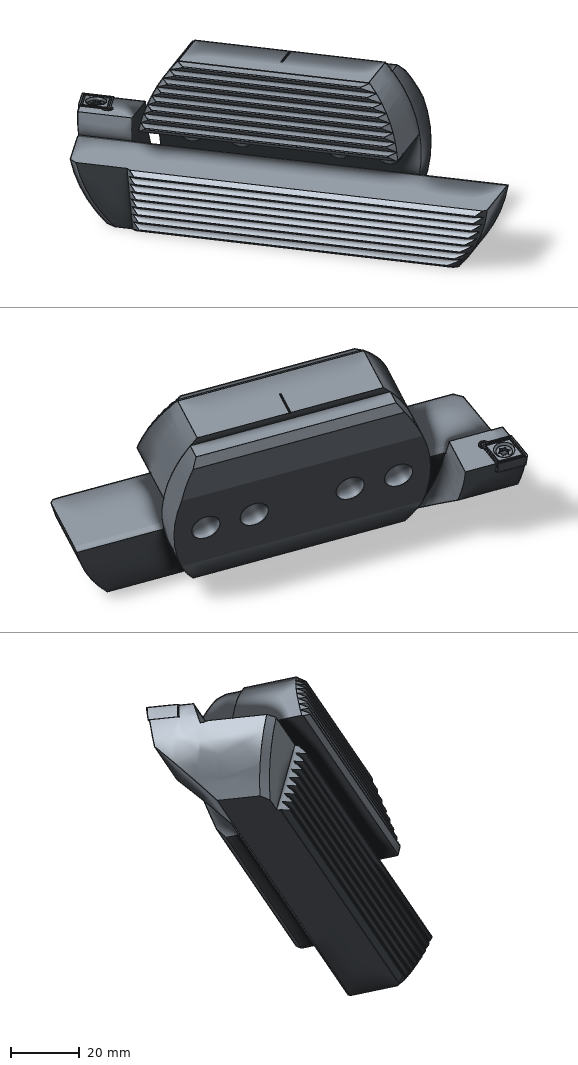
import cadquery as cq
import math


CURVE_RADIUS = 40.0
HEIGHT = 55.0
HALF_HEIGHT = HEIGHT / 2
SLOT_WIDTH = 12.5
SLOT_HALF = SLOT_WIDTH / 2
REACH = 107.7

SLOPE = math.radians(15)
TOOTH_COUNT = 8
TOOTH_DEPTH = 2.0
TOOTH_FLANK = math.radians(30)
TOOTH_SHIFT = 0.3
ROOT_Y = -22.0
GRIP_HEIGHT = HALF_HEIGHT - SLOT_HALF
PITCH = GRIP_HEIGHT / math.cos(SLOPE) / TOOTH_COUNT
TIP_Y = ROOT_Y - TOOTH_DEPTH / math.cos(SLOPE)
GRIP_SETBACK = GRIP_HEIGHT * math.tan(SLOPE)

PLATE_THICKNESS = 9.8
PLATE_HALF_HEIGHT = 25.0
PLATE_TOP_Y = 4.8
PLATE_SHOULDER_Y = 7.1
PLATE_SHOULDER_Z = 22.6
PLATE_BACK_Z = 13.6
HOLE_DIAMETER = 8.7
HOLE_RADIUS = HOLE_DIAMETER / 2
HOLE_XS = (-30.0, -15.0, 15.0, 30.0)

UPPER_END_CHAMFER = TOOTH_DEPTH
MARK_LENGTH = 8.2
MARK_WIDTH = 0.4
MARK_DEPTH = 0.3

HOLDER_RIGHT_CENTER = 27.0
HOLDER_LEFT_CENTER = -25.0
LEAD = math.radians(10)
HOLDER_END_CHAMFER = 2.7
RELIEF_START_X = -43.2
RELIEF_DEPTH = 2.8
CORNER_CHAMFER = 2.0
GUTTER_WIDTH = 0.7
GUTTER_DEPTH = 0.4
GUTTER_RAMP = 1.3
BACK_SLOPE_Y = 26.5
HEAD_TOP_Z = -0.1
HEAD_FRONT_Y = 2.0
HEAD_FOOT_Y = 0.3
HEAD_BACK_Y = 15.3
HEAD_BACK_LOW_Y = 14.1
HEAD_END_X = -48.7
HEAD_END_RADIUS = 41.7

INSERT_X = -62.5
INSERT_Y = 11.0
INSERT_WIDTH = 9.5
INSERT_THICKNESS = 4.0
INSERT_CLEARANCE = 7.0
NOSE_RADIUS = 0.4
BREAKER_LAND = 0.5
BREAKER_WIDTH = 0.5
BREAKER_DEPTH = 0.3
RELIEF_HOLE_X = -57.7
RELIEF_HOLE_Y = 6.9
RELIEF_HOLE_RADIUS = 1.6
SINK_RADIUS = 3.1
SCREW_HEAD_RADIUS = 2.4
SCREW_HEAD_HEIGHT = 1.6
SCREW_SHANK_RADIUS = 1.7
SCREW_LENGTH = 10.8
SCREW_TOP_Z = -0.7
SOCKET_RADIUS = 1.7
SOCKET_DEPTH = 1.1
SOCKET_LOBES = 6
SOCKET_INNER_RADIUS = 1.2


def half_chord(height):
    """Half width of the rounded outline at a height above or below its centre."""
    return math.sqrt(CURVE_RADIUS**2 - height**2)


def disc(center_x, radius):
    """Long cylinder along Y."""
    return cq.Workplane("XZ").center(center_x, 0).circle(radius).extrude(REACH, both=True)


def bar(profile):
    """Long bar along X with a (y, z) profile."""
    return cq.Workplane("YZ").polyline(profile).close().extrude(REACH, both=True)


def skewed(profile_wire, direction):
    """Extrude a closed wire along an oblique vector."""
    return cq.Workplane(cq.Solid.extrudeLinear(profile_wire, [], cq.Vector(*direction)))


def tooth_grooves(side):
    """Zigzag bar that cuts the teeth: side = 1 for the upper grip face, -1 for the lower one."""
    along_y, along_z = math.sin(SLOPE), math.cos(SLOPE)
    out_y, out_z = -math.cos(SLOPE), math.sin(SLOPE)
    clear = 2 * TOOTH_DEPTH

    def grip_point(distance, rise):
        y = ROOT_Y + along_y * distance + out_y * rise
        z = SLOT_HALF + along_z * distance + out_z * rise
        return (y, side * z)

    flank_run = TOOTH_DEPTH * math.tan(TOOTH_FLANK)
    zigzag = []
    for groove in range(TOOTH_COUNT + 1):
        root = groove * PITCH - TOOTH_SHIFT
        zigzag.append(grip_point(root - flank_run, TOOTH_DEPTH))
        zigzag.append(grip_point(root, 0))
        zigzag.append(grip_point(root + flank_run, TOOTH_DEPTH))
    zigzag.append(grip_point(TOOTH_COUNT * PITCH, clear))
    zigzag.append(grip_point(-TOOTH_SHIFT, clear))
    return bar(zigzag)


def make_plate():
    half_profile = [
        (0, PLATE_HALF_HEIGHT),
        (PLATE_TOP_Y, PLATE_HALF_HEIGHT),
        (PLATE_SHOULDER_Y, PLATE_SHOULDER_Z),
        (PLATE_THICKNESS, PLATE_BACK_Z),
    ]
    mirrored = [(y, -z) for y, z in reversed(half_profile)]
    plate = bar(half_profile + mirrored).intersect(disc(0, CURVE_RADIUS))
    for x in HOLE_XS:
        plate = plate.cut(disc(x, HOLE_RADIUS))
    return plate


def make_upper_jaw():
    profile = [
        (0, SLOT_HALF),
        (TIP_Y, SLOT_HALF),
        (TIP_Y + GRIP_SETBACK, HALF_HEIGHT),
        (0, HALF_HEIGHT),
    ]
    jaw = bar(profile).intersect(disc(0, CURVE_RADIUS))
    grip_ends = jaw.faces("<Y").edges("<X or >X")
    jaw = grip_ends.chamfer(UPPER_END_CHAMFER)
    jaw = jaw.cut(tooth_grooves(1))
    mark = cq.Workplane("XY").box(MARK_WIDTH, 2 * MARK_LENGTH, 2 * MARK_DEPTH)
    return jaw.cut(mark.translate((0, 0, HALF_HEIGHT)))


def holder_right_end():
    """Everything -X of the rounded +X end."""
    return (
        cq.Workplane("XZ")
        .moveTo(HOLDER_RIGHT_CENTER + half_chord(HALF_HEIGHT), -HALF_HEIGHT)
        .threePointArc(
            (HOLDER_RIGHT_CENTER + half_chord(HALF_HEIGHT / 2), -HALF_HEIGHT / 2),
            (HOLDER_RIGHT_CENTER + CURVE_RADIUS, 0),
        )
        .lineTo(-REACH, 0)
        .lineTo(-REACH, -HALF_HEIGHT)
        .close()
        .extrude(REACH, both=True)
    )


def holder_left_end():
    """Everything +X of the rounded -X end, whose straight generators lean by the lead angle."""
    start_y = -REACH / 2
    center_x = HOLDER_LEFT_CENTER - start_y * math.tan(LEAD)
    outline = (
        cq.Workplane("XZ", origin=(0, start_y, 0))
        .moveTo(center_x - half_chord(HALF_HEIGHT), -HALF_HEIGHT)
        .threePointArc(
            (center_x - half_chord(HALF_HEIGHT / 2), -HALF_HEIGHT / 2),
            (center_x - CURVE_RADIUS, 0),
        )
        .lineTo(REACH, 0)
        .lineTo(REACH, -HALF_HEIGHT)
        .close()
    )
    return skewed(outline.val(), (-REACH * math.tan(LEAD), REACH, 0))


def holder_end_relief():
    """Wedge removed in front of the -X end, with a 45 degree ramp up to the teeth."""
    face_y = TIP_Y + RELIEF_DEPTH
    ramp = 2 * RELIEF_DEPTH
    corners = [
        (-REACH, face_y),
        (RELIEF_START_X, face_y),
        (RELIEF_START_X + ramp, face_y - ramp),
        (-REACH, face_y - ramp),
    ]
    outline = cq.Workplane("XY", origin=(0, 0, -SLOT_HALF)).polyline(corners).close()
    return skewed(outline.val(), (0, GRIP_SETBACK, -GRIP_HEIGHT))


def front_corner():
    """Selects the curved edge between the leaning -X end and the relieved grip face."""
    low = (HOLDER_LEFT_CENTER - CURVE_RADIUS, TIP_Y, -HALF_HEIGHT + CORNER_CHAMFER)
    high = (HOLDER_LEFT_CENTER - half_chord(HALF_HEIGHT), TIP_Y / 2, -SLOT_HALF - CORNER_CHAMFER)
    return cq.selectors.BoxSelector(low, high)


def make_holder_body():
    jaw_profile = [
        (0, -SLOT_HALF - GUTTER_DEPTH),
        (-GUTTER_WIDTH, -SLOT_HALF - GUTTER_DEPTH),
        (-GUTTER_WIDTH - GUTTER_RAMP, -SLOT_HALF),
        (TIP_Y, -SLOT_HALF),
        (TIP_Y + GRIP_SETBACK, -HALF_HEIGHT),
        (BACK_SLOPE_Y - HALF_HEIGHT, -HALF_HEIGHT),
        (0, -BACK_SLOPE_Y),
    ]
    head_profile = [
        (0, -SLOT_HALF - GUTTER_DEPTH),
        (HEAD_FOOT_Y, -SLOT_HALF - GUTTER_DEPTH),
        (HEAD_FRONT_Y, HEAD_TOP_Z),
        (HEAD_BACK_Y, HEAD_TOP_Z),
        (HEAD_BACK_LOW_Y, HEAD_BACK_LOW_Y - BACK_SLOPE_Y),
        (0, -BACK_SLOPE_Y),
    ]
    jaw = bar(jaw_profile).intersect(holder_right_end())
    jaw = jaw.faces("<Y").edges(">X").chamfer(HOLDER_END_CHAMFER)

    head_end_center = HEAD_END_X + HEAD_END_RADIUS
    head_side = cq.Workplane("XY").box(REACH, REACH, REACH).translate((head_end_center - REACH / 2, 0, 0))
    head = bar(head_profile).intersect(head_side).cut(disc(head_end_center, HEAD_END_RADIUS))

    body = jaw.union(head, clean=True).cut(holder_end_relief()).intersect(holder_left_end())
    body = body.edges(front_corner()).chamfer(CORNER_CHAMFER)
    return body.cut(tooth_grooves(-1))


def rhombus(width, nose_radius=0):
    """Centred 80 degree rhombus whose straight edges run along X."""
    half = width / 2
    half_edge = half / math.cos(LEAD)
    lean = half * math.tan(LEAD)
    sketch = cq.Sketch().polygon([
        (-half_edge - lean, half),
        (half_edge - lean, half),
        (half_edge + lean, -half),
        (-half_edge + lean, -half),
        (-half_edge - lean, half),
    ])
    if nose_radius:
        sketch = sketch.vertices().fillet(nose_radius)
    return cq.Workplane("XY", origin=(INSERT_X, INSERT_Y, 0)).placeSketch(sketch)


def make_insert_blank():
    return rhombus(INSERT_WIDTH, NOSE_RADIUS).extrude(-INSERT_THICKNESS, taper=INSERT_CLEARANCE)


def make_screw_blank():
    return (
        cq.Workplane("XZ")
        .moveTo(0, SCREW_TOP_Z)
        .lineTo(SCREW_HEAD_RADIUS, SCREW_TOP_Z)
        .lineTo(SCREW_SHANK_RADIUS, SCREW_TOP_Z - SCREW_HEAD_HEIGHT)
        .lineTo(SCREW_SHANK_RADIUS, -SCREW_LENGTH)
        .lineTo(0, -SCREW_LENGTH)
        .close()
        .revolve(360, (0, 0, 0), (0, 1, 0))
        .translate((INSERT_X, INSERT_Y, 0))
    )


def make_insert():
    land_width = INSERT_WIDTH - 2 * BREAKER_LAND
    breaker = rhombus(land_width).extrude(-BREAKER_DEPTH)
    island = rhombus(land_width - 2 * BREAKER_WIDTH).extrude(-BREAKER_DEPTH)
    sink = (
        cq.Workplane("XY", origin=(INSERT_X, INSERT_Y, 0))
        .circle(SINK_RADIUS)
        .workplane(offset=SCREW_TOP_Z)
        .circle(SCREW_HEAD_RADIUS)
        .loft()
    )
    return make_insert_blank().cut(breaker.cut(island)).cut(sink).cut(make_screw_blank())


def make_screw():
    points = []
    for i in range(2 * SOCKET_LOBES):
        radius = SOCKET_RADIUS if i % 2 == 0 else SOCKET_INNER_RADIUS
        angle = math.pi * i / SOCKET_LOBES
        points.append((radius * math.cos(angle), radius * math.sin(angle)))
    socket = (
        cq.Workplane("XY", origin=(INSERT_X, INSERT_Y, SCREW_TOP_Z))
        .polyline(points)
        .close()
        .extrude(-SOCKET_DEPTH)
    )
    return make_screw_blank().cut(socket)


def make_holder():
    relief_hole = (
        cq.Workplane("XY", origin=(RELIEF_HOLE_X, RELIEF_HOLE_Y, 0))
        .circle(RELIEF_HOLE_RADIUS)
        .extrude(-INSERT_THICKNESS)
    )
    pocket = rhombus(INSERT_WIDTH).extrude(-INSERT_THICKNESS)
    return make_holder_body().cut(pocket).cut(relief_hole).cut(make_screw_blank())


plate = make_plate()
upper_jaw = make_upper_jaw()
holder = make_holder()
insert = make_insert()
screw = make_screw()

result = cq.Compound.makeCompound([
    plate.val(),
    upper_jaw.val(),
    holder.val(),
    insert.val(),
    screw.val(),
])